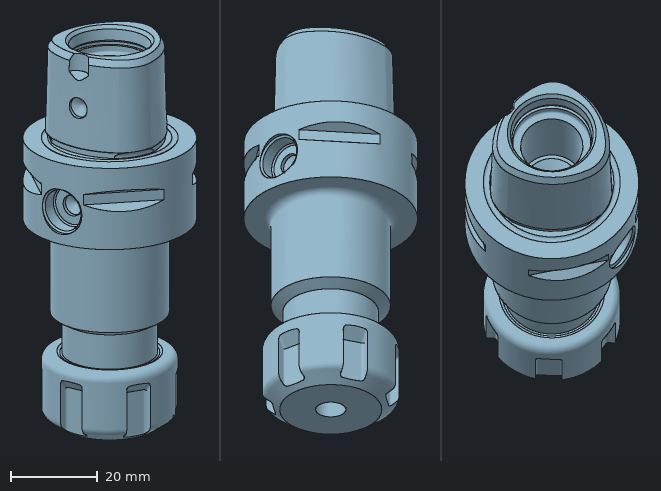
import cadquery as cq
import math

top_z = 94.0
flange_height = 20.0
shank_length = 23.9
flange_top_z = top_z - shank_length
flange_bottom_z = flange_top_z - flange_height
body_bottom_z = 27.3
nut_top_z = 17.5

flange_radius = 20.0
body_radius = 27.5 / 2
body_fillet = 2.0
neck_radius = 11.0
body_cone_angle = math.radians(30)
body_cone_height = (body_radius - neck_radius) * math.tan(body_cone_angle)

nut_radius = 15.8
nut_fillet = 2.0
nut_cone_angle = math.radians(36)
nut_cone_top_z = 2.35
nut_recess_rim_radius = 24.3 / 2
nut_recess_floor_radius = 23.0 / 2
nut_recess_depth = 0.3

slot_count = 6
first_slot_angle = 30
slot_width = 6.0
slot_floor_radius = 13.2
slot_corner_radius = 0.7
slot_top_z = 14.8
low_slot_top_z = 13.8

lobe_reach = 14.85
flat_reach = 13.2
lobe_radius = 8.5
shank_taper_per_length = 0.025
shank_taper = math.degrees(math.atan(shank_taper_per_length))
shank_chamfer_height = 1.6
shank_chamfer_angle = 32.0
undercut_height = 1.5
undercut_depth = 0.33
undercut_radius = 13.8
undercut_land = 0.4
undercut_fillet = 1.3

trough_outer_radius = 31.5 / 2
trough_inner_radius = 14.3
trough_depth = 0.5

mouth_radius = 20.4 / 2
mouth_bore_radius = 9.5
mouth_chamfer_depth = 0.8
groove_start_depth = 3.5
groove_throat_radius = 9.2
groove_radius = 9.7
groove_end_depth = 4.7
lip_radius = 18.0 / 2
seat_radius = 17.0 / 2
seat_depth = 6.5
thread_bore_radius = 7.1
thread_bore_depth = 23.9
funnel_radius = 6.2
through_radius = 3.5

notch_z = 62.0
notch_floor_distance = 17.7
notch_floor_height = 2.5
notch_wall_angle = math.radians(30)

pocket_z = 58.1
pocket_floor_y = 15.2
pocket_radius = 5.0
pocket_mouth_radius = 11.0 / 2
pocket_edge = 0.4
pocket_hole_radius = 5.0 / 2
pocket_hole_depth = 0.9

drill_tip_angle = math.radians(30)
side_hole_z = 81.4
side_hole_radius = 5.0 / 2
side_hole_floor_y = 12.0
key_notch_radius = 3.0
key_notch_y = -13.8
key_notch_floor_z = 89.8
key_notch_tip_angle = math.radians(40)


def turned(points):
    """Solid of revolution about Z from (radius, z) points."""
    return cq.Workplane("XZ").polyline(points).close().revolve(360, (0, 0, 0), (0, 1, 0))


def side_turned(points, z):
    """Solid of revolution about the -Y direction at height z, from (radius, depth outwards) points."""
    return turned(points).rotate((0, 0, 0), (1, 0, 0), 90).translate((0, 0, z))


def drill_tip(radius):
    """Height of the conical end left by a drill of the given radius."""
    return radius * math.tan(drill_tip_angle)


def lobed_outline(inset, z):
    """Closed outline of three lobe arcs joined tangentially by three flatter arcs."""
    lobe_center = lobe_reach - lobe_radius
    radius_gap = flat_reach - lobe_radius
    flat_center = (lobe_center**2 - radius_gap**2) / (2 * radius_gap - lobe_center)
    flat_radius = flat_center + flat_reach

    lobe_x = lobe_center * math.cos(math.radians(-30))
    lobe_y = lobe_center * math.sin(math.radians(-30))
    span = math.hypot(lobe_x, lobe_y - flat_center)
    joint_x = lobe_x / span * (flat_radius - inset)
    joint_y = flat_center + (lobe_y - flat_center) / span * (flat_radius - inset)
    joint_radius = math.hypot(joint_x, joint_y)
    joint_angle = math.degrees(math.atan2(joint_y, joint_x)) + 90

    def polar(radius, degrees):
        return (radius * math.cos(math.radians(degrees)), radius * math.sin(math.radians(degrees)))

    outline = cq.Workplane("XY", origin=(0, 0, z)).moveTo(*polar(joint_radius, -90 - joint_angle))
    for flat_angle in (-90, 30, 150):
        outline = outline.threePointArc(
            polar(flat_reach - inset, flat_angle), polar(joint_radius, flat_angle + joint_angle)
        ).threePointArc(
            polar(lobe_reach - inset, flat_angle + 60), polar(joint_radius, flat_angle + 120 - joint_angle)
        )
    return outline.close()


def make_body():
    """Flange, cylindrical body with its root fillet, and neck down to the nut."""
    fillet_mid = body_fillet * (1 - math.sqrt(0.5))
    return (
        cq.Workplane("XZ")
        .moveTo(0, flange_top_z)
        .lineTo(flange_radius, flange_top_z)
        .lineTo(flange_radius, flange_bottom_z)
        .lineTo(body_radius + body_fillet, flange_bottom_z)
        .threePointArc(
            (body_radius + fillet_mid, flange_bottom_z - fillet_mid),
            (body_radius, flange_bottom_z - body_fillet),
        )
        .lineTo(body_radius, body_bottom_z)
        .lineTo(neck_radius, body_bottom_z - body_cone_height)
        .lineTo(neck_radius, 0)
        .lineTo(0, 0)
        .close()
        .revolve(360, (0, 0, 0), (0, 1, 0))
    )


def make_nut():
    """Clamping nut with rounded rims, a conical bottom edge and six wrench slots."""
    turn = math.pi / 2 - nut_cone_angle
    cone_top_radius = nut_radius - nut_fillet * (1 - math.cos(turn))
    bottom_radius = cone_top_radius - nut_cone_top_z / math.tan(nut_cone_angle)
    arc_top_z = nut_cone_top_z + nut_fillet * math.sin(turn)
    arc_mid = (
        nut_radius - nut_fillet * (1 - math.cos(turn / 2)),
        arc_top_z - nut_fillet * math.sin(turn / 2),
    )
    rim_mid = nut_fillet * (1 - math.sqrt(0.5))
    nut = (
        cq.Workplane("XZ")
        .moveTo(0, 0)
        .lineTo(bottom_radius, 0)
        .lineTo(cone_top_radius, nut_cone_top_z)
        .threePointArc(arc_mid, (nut_radius, arc_top_z))
        .lineTo(nut_radius, nut_top_z - nut_fillet)
        .threePointArc(
            (nut_radius - rim_mid, nut_top_z - rim_mid), (nut_radius - nut_fillet, nut_top_z)
        )
        .lineTo(nut_recess_rim_radius, nut_top_z)
        .lineTo(nut_recess_floor_radius, nut_top_z - nut_recess_depth)
        .lineTo(0, nut_top_z - nut_recess_depth)
        .close()
        .revolve(360, (0, 0, 0), (0, 1, 0))
    )
    for index in range(slot_count):
        angle = first_slot_angle + index * 360 / slot_count
        top = low_slot_top_z if angle < 180 else slot_top_z
        nut = nut.cut(make_slot(top).rotate((0, 0, 0), (0, 0, 1), angle))
    return nut


def make_slot(rim_z):
    """Slot on the +X side: rounded floor corners, open below, 45 degree run-out meeting the rim at rim_z."""
    outer = nut_radius + slot_width
    runout_z = rim_z - nut_radius
    return (
        cq.Workplane("XZ")
        .moveTo(slot_floor_radius, 0)
        .lineTo(outer, 0)
        .lineTo(outer, runout_z + outer)
        .lineTo(slot_floor_radius, runout_z + slot_floor_radius)
        .close()
        .extrude(slot_width / 2, both=True)
        .edges("(|Z and <X) or |(1, 0, 1)")
        .fillet(slot_corner_radius)
    )


def make_shank():
    """Tapered three-lobed shank with a chamfered top and an undercut at the flange."""
    taper_start_z = flange_top_z + undercut_height
    taper_height = shank_length - undercut_height - shank_chamfer_height
    chamfer_z = top_z - shank_chamfer_height
    end_inset = taper_height * shank_taper_per_length
    taper = lobed_outline(0, taper_start_z).extrude(taper_height, taper=shank_taper)
    tip = lobed_outline(end_inset, chamfer_z).extrude(shank_chamfer_height, taper=shank_chamfer_angle)
    root = lobed_outline(undercut_depth, flange_top_z).extrude(undercut_height)

    fillet_start_z = flange_top_z + undercut_land
    fillet_rise = undercut_fillet * math.sqrt(0.5)
    relief = (
        cq.Workplane("XZ")
        .moveTo(undercut_radius, flange_top_z)
        .lineTo(undercut_radius, fillet_start_z)
        .threePointArc(
            (undercut_radius + undercut_fillet - fillet_rise, fillet_start_z + fillet_rise),
            (undercut_radius + undercut_fillet, fillet_start_z + undercut_fillet),
        )
        .lineTo(flange_radius, fillet_start_z + undercut_fillet)
        .lineTo(flange_radius, flange_top_z)
        .close()
        .revolve(360, (0, 0, 0), (0, 1, 0))
    )
    return root.union(taper).union(tip).cut(relief)


def make_trough():
    """Shallow arc-bottomed ring in the top face of the flange."""
    middle = (trough_outer_radius + trough_inner_radius) / 2
    return (
        cq.Workplane("XZ")
        .moveTo(trough_inner_radius, flange_top_z)
        .threePointArc((middle, flange_top_z - trough_depth), (trough_outer_radius, flange_top_z))
        .close()
        .revolve(360, (0, 0, 0), (0, 1, 0))
    )


def make_bore():
    """Stepped bore with a clamping groove, a funnel and a through hole."""
    flare = groove_radius - groove_throat_radius
    seat_fillet = lip_radius - seat_radius
    fillet_mid = seat_fillet * (1 - math.sqrt(0.5))
    funnel_depth = thread_bore_depth + drill_tip(funnel_radius - through_radius)
    return (
        cq.Workplane("XZ")
        .moveTo(0, top_z)
        .lineTo(mouth_radius, top_z)
        .lineTo(mouth_bore_radius, top_z - mouth_chamfer_depth)
        .lineTo(groove_throat_radius, top_z - groove_start_depth)
        .lineTo(groove_radius, top_z - groove_start_depth - flare)
        .lineTo(groove_radius, top_z - groove_end_depth)
        .lineTo(lip_radius, top_z - groove_end_depth)
        .lineTo(lip_radius, top_z - seat_depth + seat_fillet)
        .threePointArc(
            (lip_radius - fillet_mid, top_z - seat_depth + fillet_mid),
            (seat_radius, top_z - seat_depth),
        )
        .lineTo(thread_bore_radius, top_z - seat_depth)
        .lineTo(thread_bore_radius, top_z - thread_bore_depth)
        .lineTo(funnel_radius, top_z - thread_bore_depth)
        .lineTo(through_radius, top_z - funnel_depth)
        .lineTo(through_radius, 0)
        .lineTo(0, 0)
        .close()
        .revolve(360, (0, 0, 0), (0, 1, 0))
    )


def make_gripper_notch():
    """Flat-floored notch on the +X side of the flange with sloping upper and lower walls."""
    half_floor = notch_floor_height / 2
    reach = flange_radius - notch_floor_distance
    half_mouth = half_floor + reach * math.tan(notch_wall_angle)
    return (
        cq.Workplane("XZ")
        .moveTo(notch_floor_distance, notch_z - half_floor)
        .lineTo(flange_radius, notch_z - half_mouth)
        .lineTo(flange_radius, notch_z + half_mouth)
        .lineTo(notch_floor_distance, notch_z + half_floor)
        .close()
        .extrude(flange_radius, both=True)
    )


def make_side_pocket():
    """Round pocket on the -Y side of the flange with a drilled centre."""
    hole_floor = pocket_floor_y - pocket_hole_depth
    mouth_y = math.sqrt(flange_radius**2 - pocket_mouth_radius**2)
    return side_turned([
        (0, hole_floor - drill_tip(pocket_hole_radius)),
        (pocket_hole_radius, hole_floor),
        (pocket_hole_radius, pocket_floor_y),
        (pocket_radius - pocket_edge, pocket_floor_y),
        (pocket_radius, pocket_floor_y + pocket_edge),
        (pocket_radius, mouth_y - pocket_edge),
        (pocket_mouth_radius, mouth_y),
        (pocket_mouth_radius, flange_radius),
        (0, flange_radius),
    ], pocket_z)


def make_shank_hole():
    """Blind drilled hole in the -Y flat of the shank."""
    return side_turned([
        (0, side_hole_floor_y - drill_tip(side_hole_radius)),
        (side_hole_radius, side_hole_floor_y),
        (side_hole_radius, lobe_reach),
        (0, lobe_reach),
    ], side_hole_z)


def make_key_notch():
    """Round notch with a conical end in the top edge of the -Y flat."""
    return turned([
        (0, key_notch_floor_z - key_notch_radius * math.tan(key_notch_tip_angle)),
        (key_notch_radius, key_notch_floor_z),
        (key_notch_radius, top_z),
        (0, top_z),
    ]).translate((0, key_notch_y, 0))


result = make_body().union(make_nut()).union(make_shank())
result = result.cut(make_trough()).cut(make_bore())

for notch_angle in (45, 135, 225, 315):
    result = result.cut(make_gripper_notch().rotate((0, 0, 0), (0, 0, 1), notch_angle))

for pocket_angle in (0, 180):
    result = result.cut(make_side_pocket().rotate((0, 0, 0), (0, 0, 1), pocket_angle))

result = result.cut(make_shank_hole()).cut(make_key_notch())